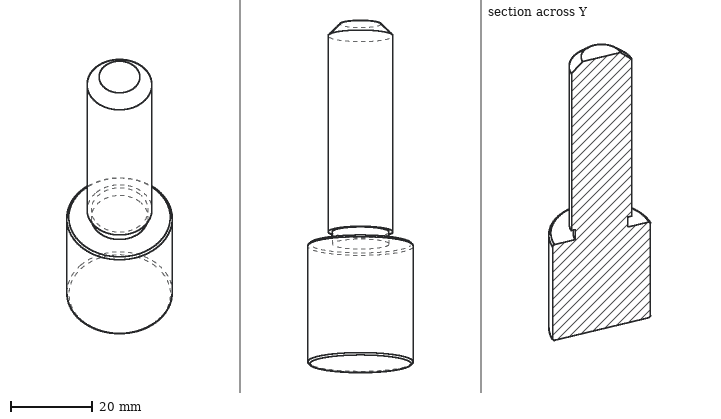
import cadquery as cq

total_height = 85.0
head_diameter = 26.0
head_height = 30.0
head_chamfer = 0.5

neck_diameter = 14.0
neck_height = 3.0

shank_diameter = 16.0
tip_chamfer = 3.0

shank_base = head_height + neck_height
shank_height = total_height - shank_base


def cylinder(diameter, height, base):
    """Upright cylinder on the Z axis, starting at the given base height."""
    return cq.Workplane("XY").workplane(offset=base).circle(diameter / 2).extrude(height)


head = cylinder(head_diameter, head_height, 0).edges().chamfer(head_chamfer)

neck = cylinder(neck_diameter, neck_height, head_height)

shank = cylinder(shank_diameter, shank_height, shank_base).faces(">Z").edges().chamfer(tip_chamfer)

result = head.union(neck).union(shank)